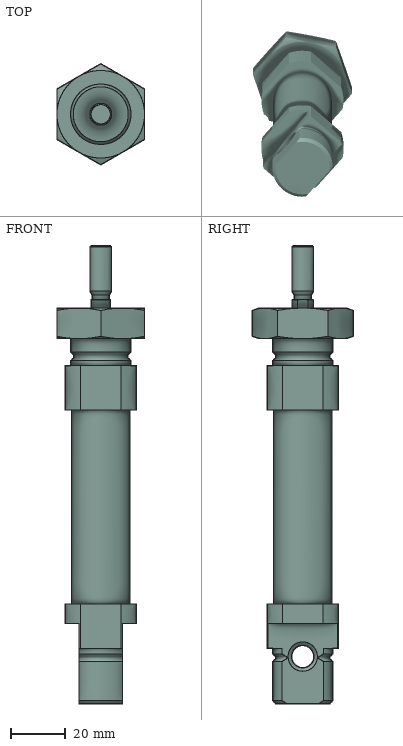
import cadquery as cq
import math

total_height = 167.0
tongue_top = 29.2
rear_block_bottom = 20.2
rear_block_top = 36.4
front_block_bottom = 107.0
front_block_top = 123.2
nut_top = 144.3
face_recess = 0.7
housing_top = nut_top - face_recess

thread_diameter = 22.0
thread_chamfer = 1.0
tube_diameter = 21.4
block_width = 26.0
block_corner_diameter = 29.9
tongue_thickness = 16.0
rear_chamfer = 1.2

groove_diameter = 19.7
groove_shoulder_diameter = 20.0
groove_taper = (thread_diameter - groove_shoulder_diameter) / 2
front_groove_bottom = 125.0
front_groove_top = 128.3
rear_groove_bottom = 15.4
rear_groove_top = 18.2

pivot_diameter = 8.0
pivot_chamfer = 1.3
pivot_height = 17.2

nut_across_corners = 36.9
nut_across_flats = nut_across_corners * math.cos(math.radians(30))
nut_height = 11.2
nut_chamfer_angle = 20

rod_diameter = 8.0
rod_tip_chamfer = 0.5
rod_groove_diameter = 6.3
rod_shoulder_chamfer = 0.3
rod_groove_bottom = 147.5
rod_groove_top = 149.0
rod_thread_taper_depth = (rod_diameter - rod_groove_diameter) / 2
rod_thread_taper_height = 1.5
rod_flats_width = 7.0
rod_flats_bottom = housing_top
rod_bottom = front_block_bottom


def cylinder(diameter, bottom, top):
    return cq.Workplane("XY").workplane(offset=bottom).circle(diameter / 2).extrude(top - bottom)


def square_block(bottom, top):
    """Square block whose corners are rounded by a larger concentric cylinder."""
    height = top - bottom
    square = cq.Workplane("XY").workplane(offset=bottom).rect(block_width, block_width).extrude(height)
    return square.intersect(cylinder(block_corner_diameter, bottom, top))


def thread_groove(bottom, top):
    """Ring to be cut from a thread, tapered at each end and with a rounded root."""
    root = groove_diameter / 2
    shoulder = groove_shoulder_diameter / 2
    outer = thread_diameter / 2
    middle = (bottom + top) / 2
    profile = (
        cq.Workplane("XZ")
        .moveTo(outer, bottom)
        .lineTo(outer, top)
        .lineTo(shoulder, top - groove_taper)
        .threePointArc((root, middle), (shoulder, bottom + groove_taper))
        .close()
    )
    return profile.revolve(360, (0, 0), (0, 1))


def tongue_slab(bottom, top):
    height = top - bottom
    return cq.Workplane("XY").workplane(offset=bottom).rect(tongue_thickness, block_width).extrude(height)


def pivot_hole():
    """Cross hole along X, countersunk on both faces of the tongue."""
    radius = pivot_diameter / 2
    face = tongue_thickness / 2
    profile = [
        (-face, 0),
        (-face, radius + pivot_chamfer),
        (pivot_chamfer - face, radius),
        (face - pivot_chamfer, radius),
        (face, radius + pivot_chamfer),
        (face, 0),
    ]
    hole = cq.Workplane("XY").polyline(profile).close().revolve(360, (0, 0), (1, 0))
    return hole.translate((0, 0, pivot_height))


def make_housing():
    rear_end = cylinder(thread_diameter, 0, rear_block_bottom).faces("<Z").chamfer(rear_chamfer)
    rear_end = rear_end.cut(thread_groove(rear_groove_bottom, rear_groove_top))
    rear_end = rear_end.union(square_block(rear_block_bottom, tongue_top))
    rear_end = rear_end.intersect(tongue_slab(0, tongue_top)).cut(pivot_hole())

    front_end = cylinder(thread_diameter, front_block_top, housing_top).faces(">Z").chamfer(thread_chamfer)
    front_end = front_end.cut(thread_groove(front_groove_bottom, front_groove_top))

    housing = rear_end.union(square_block(tongue_top, rear_block_top))
    housing = housing.union(cylinder(tube_diameter, rear_block_top, front_block_bottom))
    housing = housing.union(square_block(front_block_bottom, front_block_top)).union(front_end)
    return housing.cut(cylinder(rod_diameter, rod_bottom, housing_top))


def make_nut():
    """Hexagon nut with corners pointing along Y, chamfered conically on both faces."""
    corner_depth = (nut_across_corners - nut_across_flats) / 2
    corner_drop = corner_depth * math.tan(math.radians(nut_chamfer_angle))
    bottom = nut_top - nut_height
    hexagon = cq.Workplane("XY").workplane(offset=bottom).polygon(6, nut_across_corners).extrude(nut_height)
    hexagon = hexagon.rotate((0, 0, 0), (0, 0, 1), 90)
    envelope = cylinder(nut_across_corners, bottom, nut_top).edges().chamfer(corner_drop, corner_depth)
    return hexagon.intersect(envelope).cut(cylinder(thread_diameter, bottom, nut_top))


def make_rod():
    shank = cylinder(rod_diameter, rod_bottom, rod_groove_bottom).faces(">Z").chamfer(rod_shoulder_chamfer)
    flats_height = rod_groove_bottom - rod_flats_bottom
    flats = cq.Workplane("XY").workplane(offset=rod_flats_bottom)
    flats = flats.rect(rod_flats_width, rod_diameter).extrude(flats_height)
    shank = shank.intersect(flats.union(cylinder(rod_diameter, rod_bottom, rod_flats_bottom)))
    neck = cylinder(rod_groove_diameter, rod_groove_bottom, rod_groove_top)
    thread = cylinder(rod_diameter, rod_groove_top, total_height).faces(">Z").chamfer(rod_tip_chamfer)
    thread = thread.faces("<Z").chamfer(rod_thread_taper_height, rod_thread_taper_depth)
    return shank.union(neck).union(thread)


housing = make_housing()
nut = make_nut()
rod = make_rod()

result = cq.Compound.makeCompound([housing.val(), nut.val(), rod.val()])